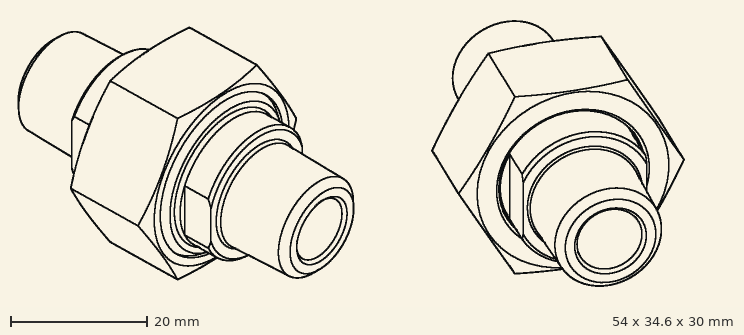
import cadquery as cq
import math

length = 54.0

pipe_tip_radius = 6.95
pipe_small_radius = 8.2
pipe_large_radius = 8.55
pipe_root_radius = 8.85
tip_chamfer = 1.2
bore_diameter = 10.0
bore_radius = bore_diameter / 2
bore_mouth_radius = 5.5
bore_mouth_depth = 0.55

shoulder_diameter = 22.0
shoulder_radius = shoulder_diameter / 2
shoulder_chamfer = 0.55

tail_shoulder_start = 12.9
tail_root_length = 0.3
tail_flats_width = 19.0
tail_flange_diameter = 25.4
tail_flange_radius = tail_flange_diameter / 2

nut_start = 18.95
nut_length = 15.1
nut_end = nut_start + nut_length
nut_across_flats = 30.0
nut_across_corners = nut_across_flats / math.cos(math.radians(30))
nut_face_radius = 14.75
nut_corner_depth = 0.85
nut_lip_length = 3.25
nut_lip_end = nut_start + nut_lip_length
nut_hole_diameter = 22.5
nut_hole_radius = nut_hole_diameter / 2
nut_hole_chamfer = 0.5
nut_thread_diameter = 26.85
nut_thread_radius = nut_thread_diameter / 2

tail_flats_overrun = 0.65
tail_flats_end = nut_start + tail_flats_overrun

flange_thickness = 2.7
seat = nut_lip_end + flange_thickness
body_thread_end = 35.0
body_thread_chamfer_length = 1.55
body_thread_end_radius = 12.3
body_neck_radius = 11.35
body_neck_end = 35.8
body_flats_width = 20.0
body_shoulder_end = 41.05
body_root_length = 0.6


def revolve_about_x(points):
    """Solid of revolution of an (x, radius) outline about the X axis."""
    return cq.Workplane("XY").polyline(points).close().revolve(360, (0, 0, 0), (1, 0, 0))


def cut_wrench_flats(solid, start, end, width):
    """Cut two parallel flats, facing -Y and +Y, between two X stations."""
    across = 2 * shoulder_diameter
    slab = cq.Workplane("XY").box(end - start, across, across)
    core = cq.Workplane("XY").box(end - start, width, across)
    cutter = slab.cut(core).translate(((start + end) / 2, 0, 0))
    return solid.cut(cutter)


def make_tailpiece():
    outline = [
        (bore_mouth_depth, bore_radius),
        (0, bore_mouth_radius),
        (0, pipe_tip_radius),
        (tip_chamfer, pipe_small_radius),
        (tail_shoulder_start - tail_root_length, pipe_large_radius),
        (tail_shoulder_start, pipe_root_radius),
        (tail_shoulder_start, shoulder_radius - shoulder_chamfer),
        (tail_shoulder_start + shoulder_chamfer, shoulder_radius),
        (nut_lip_end, shoulder_radius),
        (nut_lip_end, tail_flange_radius),
        (seat, tail_flange_radius),
        (seat, bore_radius),
    ]
    tailpiece = revolve_about_x(outline)
    return cut_wrench_flats(tailpiece, tail_shoulder_start, tail_flats_end, tail_flats_width)


def make_nut():
    hexagon = cq.Workplane("YZ").polygon(6, nut_across_corners).extrude(nut_length)
    hexagon = hexagon.translate((nut_start, 0, 0))
    corner_radius = nut_across_corners / 2
    envelope = revolve_about_x([
        (nut_start, 0),
        (nut_start, nut_face_radius),
        (nut_start + nut_corner_depth, corner_radius),
        (nut_end - nut_corner_depth, corner_radius),
        (nut_end, nut_face_radius),
        (nut_end, 0),
    ])
    opening = revolve_about_x([
        (nut_start, 0),
        (nut_start, nut_hole_radius + nut_hole_chamfer),
        (nut_start + nut_hole_chamfer, nut_hole_radius),
        (nut_lip_end, nut_hole_radius),
        (nut_lip_end, nut_thread_radius),
        (nut_end, nut_thread_radius),
        (nut_end, 0),
    ])
    return hexagon.intersect(envelope).cut(opening)


def make_body():
    outline = [
        (seat, bore_radius),
        (seat, nut_thread_radius),
        (body_thread_end - body_thread_chamfer_length, nut_thread_radius),
        (body_thread_end, body_thread_end_radius),
        (body_thread_end, body_neck_radius),
        (body_neck_end, shoulder_radius),
        (body_shoulder_end - shoulder_chamfer, shoulder_radius),
        (body_shoulder_end, shoulder_radius - shoulder_chamfer),
        (body_shoulder_end, pipe_root_radius),
        (body_shoulder_end + body_root_length, pipe_large_radius),
        (length - tip_chamfer, pipe_small_radius),
        (length, pipe_tip_radius),
        (length, bore_mouth_radius),
        (length - bore_mouth_depth, bore_radius),
    ]
    body = revolve_about_x(outline)
    return cut_wrench_flats(body, body_neck_end, body_shoulder_end, body_flats_width)


tailpiece = make_tailpiece()
nut = make_nut()
body = make_body()

result = cq.Compound.makeCompound([tailpiece.val(), nut.val(), body.val()])